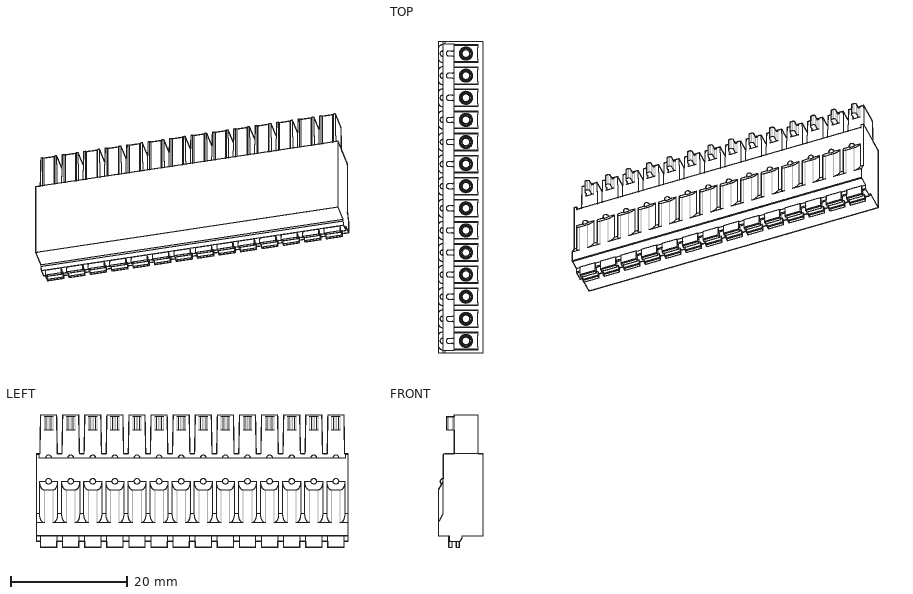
import cadquery as cq

POLE_COUNT = 14
PITCH = 3.81
ROW_LENGTH = PITCH * (POLE_COUNT - 1)

BODY_DEPTH = 7.75
BODY_LENGTH = 53.73
BODY_BOTTOM_Z = 2.0
BODY_TOP_Z = 16.2
FOOT_CHAMFER = 0.1
WALL_X = 0.83
FOOT_TOP_Z = 4.3
FOOT_SLOPE_TOP_Z = 5.85

LEDGE_Z = 15.47
END_WALL = 0.47
END_WALL_CHAMFER_X = 0.3
END_WALL_CHAMFER_Z = 0.1

TOWER_FRONT_X = 2.75
TOWER_BACK_X = 6.87
TOWER_TOP_Z = 22.9
TOWER_TOP_WIDTH = 2.8
TOWER_BASE_WIDTH = 3.05
BACK_GROOVE_DEPTH = 0.15
BACK_GROOVE_WIDTH = 2.2
BACK_GROOVE_FLOOR_WIDTH = 1.8

HOLE_X = 4.77
HOLE_MOUTH_RADIUS = 1.13
HOLE_FLOOR_RADIUS = 0.95
HOLE_DEPTH = 1.1
SCREW_HEAD_BASE_RADIUS = 0.85
SCREW_HEAD_TOP_RADIUS = 0.65
SCREW_HEAD_HEIGHT = 0.2

KEY_FRONT_X = 1.45
KEY_TOP_Z = 22.6
KEY_BOTTOM_Z = 20.25
KEY_HALF_WIDTH = 0.44
KEY_CORNER_RADIUS = 0.32
KEY_FLARE_RADIUS = 0.28

COLUMN_FLAT_HALF_WIDTH = 0.74
COLUMN_TOP_FRONT_Z = 9.95
COLUMN_TOP_WALL_Z = 11.42
BEAD_RADIUS = 0.5

SKIRT_FRONT_X = 1.93
SKIRT_BACK_X = 4.1
SKIRT_BOTTOM_Z = 1.03
SKIRT_FRONT_CHAMFER = 0.15
SKIRT_BACK_CHAMFER_X = 0.4
SKIRT_BACK_CHAMFER_Z = 0.6
PIN_WIDTH = 2.83
PIN_THICKNESS = 0.57
PIN_FRONT_XS = (1.8, 3.07)
PIN_CHAMFER = 0.12

POLE_YS = [index * PITCH - ROW_LENGTH / 2 for index in range(POLE_COUNT)]


def box(x_range, y_range, z_range):
    """Axis-aligned block between two limits on each axis."""
    sizes = [limits[1] - limits[0] for limits in (x_range, y_range, z_range)]
    corner = (x_range[0], y_range[0], z_range[0])
    return cq.Workplane("XY").box(*sizes, centered=False).translate(corner)


def extrude_along_row(points, y_start, y_end):
    """Solid with an XZ outline, running from y_start to y_end."""
    sketch = cq.Workplane("XZ", origin=(0, y_end, 0)).polyline(points).close()
    return sketch.extrude(y_end - y_start)


def bead(x, y, z):
    return cq.Workplane("XY").sphere(BEAD_RADIUS).translate((x, y, z))


def make_body():
    half = BODY_LENGTH / 2
    outline = [
        (0, BODY_BOTTOM_Z + FOOT_CHAMFER),
        (FOOT_CHAMFER, BODY_BOTTOM_Z),
        (BODY_DEPTH, BODY_BOTTOM_Z),
        (BODY_DEPTH, BODY_TOP_Z),
        (WALL_X + END_WALL_CHAMFER_X, BODY_TOP_Z),
        (WALL_X, BODY_TOP_Z - END_WALL_CHAMFER_Z),
        (WALL_X, FOOT_SLOPE_TOP_Z),
        (0, FOOT_TOP_Z),
    ]
    body = extrude_along_row(outline, -half, half)
    ledge_half = half - END_WALL
    ledge = box((0, TOWER_FRONT_X), (-ledge_half, ledge_half), (LEDGE_Z, TOWER_TOP_Z))
    return body.cut(ledge)


def make_skirt():
    half = BODY_LENGTH / 2
    outline = [
        (SKIRT_FRONT_X, BODY_BOTTOM_Z),
        (SKIRT_FRONT_X, SKIRT_BOTTOM_Z + SKIRT_FRONT_CHAMFER),
        (SKIRT_FRONT_X + SKIRT_FRONT_CHAMFER, SKIRT_BOTTOM_Z),
        (SKIRT_BACK_X - SKIRT_BACK_CHAMFER_X, SKIRT_BOTTOM_Z),
        (SKIRT_BACK_X, SKIRT_BOTTOM_Z + SKIRT_BACK_CHAMFER_Z),
        (SKIRT_BACK_X, BODY_BOTTOM_Z),
    ]
    return extrude_along_row(outline, -half, half)


def make_tower():
    top_half = TOWER_TOP_WIDTH / 2
    base_half = TOWER_BASE_WIDTH / 2
    sides = [
        (-base_half, BODY_TOP_Z),
        (base_half, BODY_TOP_Z),
        (top_half, TOWER_TOP_Z),
        (-top_half, TOWER_TOP_Z),
    ]
    depth = TOWER_BACK_X - TOWER_FRONT_X
    tower = cq.Workplane("YZ", origin=(TOWER_FRONT_X, 0, 0)).polyline(sides).close().extrude(depth)

    groove_x = TOWER_BACK_X - BACK_GROOVE_DEPTH
    groove_outline = [
        (TOWER_BACK_X, -BACK_GROOVE_WIDTH / 2),
        (groove_x, -BACK_GROOVE_FLOOR_WIDTH / 2),
        (groove_x, BACK_GROOVE_FLOOR_WIDTH / 2),
        (TOWER_BACK_X, BACK_GROOVE_WIDTH / 2),
    ]
    groove = cq.Workplane("XY", origin=(0, 0, BODY_TOP_Z)).polyline(groove_outline).close()
    return tower.cut(groove.extrude(TOWER_TOP_Z - BODY_TOP_Z))


def make_hole():
    """Tool for the tapered screw hole, leaving a low conical screw head on its floor."""
    floor_z = TOWER_TOP_Z - HOLE_DEPTH
    head_top_z = floor_z + SCREW_HEAD_HEIGHT
    half_section = [
        (0, head_top_z),
        (SCREW_HEAD_TOP_RADIUS, head_top_z),
        (SCREW_HEAD_BASE_RADIUS, floor_z),
        (HOLE_FLOOR_RADIUS, floor_z),
        (HOLE_MOUTH_RADIUS, TOWER_TOP_Z),
        (0, TOWER_TOP_Z),
    ]
    tool = cq.Workplane("XZ").polyline(half_section).close().revolve(360, (0, 0), (0, 1))
    return tool.translate((HOLE_X, 0, 0))


def make_key():
    """Upright key with rounded front corners and a flared root on the tower."""
    flat_half = KEY_HALF_WIDTH - KEY_CORNER_RADIUS
    root_half = KEY_HALF_WIDTH + KEY_FLARE_RADIUS
    corner_x = KEY_FRONT_X + KEY_CORNER_RADIUS
    flare_x = TOWER_FRONT_X - KEY_FLARE_RADIUS
    outline = (
        cq.Workplane("XY", origin=(0, 0, KEY_BOTTOM_Z))
        .moveTo(TOWER_FRONT_X, -root_half)
        .radiusArc((flare_x, -KEY_HALF_WIDTH), -KEY_FLARE_RADIUS)
        .lineTo(corner_x, -KEY_HALF_WIDTH)
        .radiusArc((KEY_FRONT_X, -flat_half), KEY_CORNER_RADIUS)
        .lineTo(KEY_FRONT_X, flat_half)
        .radiusArc((corner_x, KEY_HALF_WIDTH), KEY_CORNER_RADIUS)
        .lineTo(flare_x, KEY_HALF_WIDTH)
        .radiusArc((TOWER_FRONT_X, root_half), -KEY_FLARE_RADIUS)
        .close()
    )
    return outline.extrude(KEY_TOP_Z - KEY_BOTTOM_Z)


def make_column():
    """Column with quarter-round sides and a sloping top, standing on the foot band."""
    flat = COLUMN_FLAT_HALF_WIDTH
    root = flat + WALL_X
    column = (
        cq.Workplane("XY", origin=(0, 0, FOOT_TOP_Z))
        .moveTo(WALL_X, -root)
        .radiusArc((0, -flat), WALL_X)
        .lineTo(0, flat)
        .radiusArc((WALL_X, root), WALL_X)
        .close()
        .extrude(COLUMN_TOP_WALL_Z - FOOT_TOP_Z)
    )
    above_slope = [
        (0, COLUMN_TOP_FRONT_Z),
        (WALL_X, COLUMN_TOP_WALL_Z),
        (0, COLUMN_TOP_WALL_Z),
    ]
    return column.cut(extrude_along_row(above_slope, -root, root))


def make_pin(front_x):
    half = PIN_WIDTH / 2
    pin = box((front_x, front_x + PIN_THICKNESS), (-half, half), (0, BODY_BOTTOM_Z))
    return pin.edges("<X and <Z").chamfer(PIN_CHAMFER)


pole_parts = [make_tower(), make_key(), make_column()]
pole_parts += [make_pin(front_x) for front_x in PIN_FRONT_XS]
pole_parts += [bead(WALL_X, 0, COLUMN_TOP_WALL_Z), bead(TOWER_FRONT_X, 0, LEDGE_Z)]
hole = make_hole()

additions = [part.val().translate((0, y, 0)) for y in POLE_YS for part in pole_parts]
holes = [hole.val().translate((0, y, 0)) for y in POLE_YS]

solid = make_body().union(make_skirt()).val().fuse(*additions).cut(*holes).clean()
result = cq.Workplane("XY").newObject([solid.Solids()[0]])